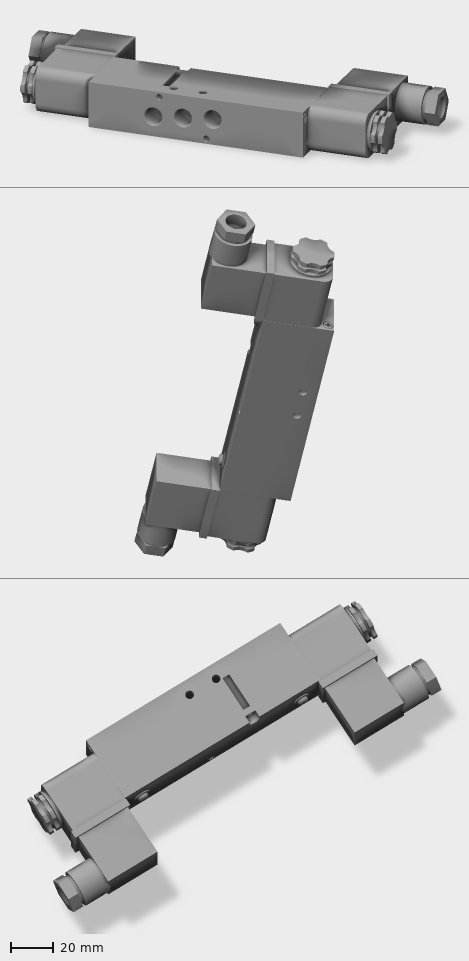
import cadquery as cq
import math


valve_depth = 34.2
valve_height = 23.0
top_z = valve_height / 2
row_end_x = 54.7
cap_inner_x = 40.8
body_left_x = -29.0
body_right_x = 16.0
body_mid_x = (body_left_x + body_right_x) / 2

port_pitch = 15.1
port_rise = 1.5
port_dia = 8.7
port_chamfer = 0.5
port_depth = 12.5
cross_hole_dia = 4.1
cross_hole_spacing = 15.0
cross_hole_y = 7.2
mount_hole_dia = 3.3
mount_hole_offset_x = 12.0
mount_hole_offset_z = 9.0
groove_width = 3.7
groove_front_y = 8.7
groove_back_y = 27.3
relief_width = 5.5
relief_length = 3.7

button_x = -45.0
collar_dia = 8.3
collar_height = 0.6
button_dia = 5.4
button_height = 2.5
button_chamfer = 0.6

plate_thickness = 1.9
plate_inset_y = 1.9
plate_inset_z = 1.0
lug_length_y = 8.0
lug_length_z = 7.2
screw_y = 3.0
screw_z = -7.9
screw_recess_dia = 5.2
screw_head_dia = 4.3
screw_recess_depth = 1.5
cross_slot_length = 3.1
cross_slot_width = 1.2
vent_dia = 3.5
vent_depth = 1.0
vent_y = 6.5
vent_z = 5.5

coil_left_x = -84.0
coil_height = 22.8
coil_front_y = 6.2
coil_fillet = 5.0
gasket_left_x = -85.1
gasket_right_x = -54.3
gasket_front_y = 34.8
gasket_back_y = 38.5
gasket_height = 24.0
box_left_x = -83.3
box_right_x = -55.5
box_back_y = 64.8
box_height = 20.7

total_length = 207.0
total_depth = 66.3
nut_across_corners = 18.6
nut_length = 5.4
gland_y = total_depth - nut_across_corners / 2
neck_dia = 15.5
neck_length = 1.7
sleeve_dia = 18.6
sleeve_right_x = -80.5
sleeve_chamfer = 2.5
cable_bore_dia = 10.4
cable_bore_depth = 6.2

knob_y = 17.2
knob_radius = 10.1
knob_neck_radius = 7.7
knob_left_x = -92.2
knob_disc_thickness = 2.0
knob_groove_width = 1.7
knob_ring_gap = 0.5
knob_ring_thickness = 0.8
knob_seat_radius = 9.5
scallop_count = 6
scallop_radius = 5.2
scallop_floor_radius = 8.5


def block(x_range, y_range, z_range):
    """Box between the given limits along X, Y and Z."""
    lengths = [high - low for low, high in (x_range, y_range, z_range)]
    corner = (x_range[0], y_range[0], z_range[0])
    return cq.Workplane("XY").box(*lengths, centered=False).translate(corner)


def valve_block(x_left, x_right):
    """Plain block of the valve row."""
    return block((x_left, x_right), (0, valve_depth), (-top_z, top_z))


def rod_x(x_left, x_right, y, z, diameter):
    """Cylinder along X."""
    return cq.Workplane("YZ", origin=(x_left, y, z)).circle(diameter / 2).extrude(x_right - x_left)


def rod_y(x, z, y_front, y_back, diameter):
    """Cylinder along Y."""
    return cq.Workplane("XZ", origin=(x, y_front, z)).circle(diameter / 2).extrude(y_front - y_back)


def turned_about_y(shape):
    """The same shape at the opposite end of the valve, half a turn about Y."""
    return shape.rotate((0, 0, 0), (0, 1, 0), 180)


def open_channel(x, y_front, y_back, width):
    """Round-bottomed channel along Y, centred on the mounting hole height and open at the top."""
    floor = rod_y(x, mount_hole_offset_z, y_front, y_back, width)
    walls = block((x - width / 2, x + width / 2), (y_front, y_back), (mount_hole_offset_z, top_z))
    return floor.union(walls)


def make_valve_body():
    body = valve_block(body_left_x, body_right_x)
    for step in (-1, 0, 1):
        port_x = body_mid_x + step * port_pitch
        port_z = step * port_rise
        body = body.cut(rod_y(port_x, port_z, 0, port_depth, port_dia))
        mouth = cq.Solid.makeCone(
            port_dia / 2 + port_chamfer,
            port_dia / 2,
            port_chamfer,
            pnt=cq.Vector(port_x, 0, port_z),
            dir=cq.Vector(0, 1, 0),
        )
        body = body.cut(cq.Workplane(mouth))
    for side in (-1, 1):
        cross_x = body_mid_x + side * cross_hole_spacing / 2
        cross_hole = cq.Workplane("XY", origin=(cross_x, cross_hole_y, -top_z))
        body = body.cut(cross_hole.circle(cross_hole_dia / 2).extrude(valve_height))
        mount_x = body_mid_x + side * mount_hole_offset_x
        mount_z = -side * mount_hole_offset_z
        body = body.cut(rod_y(mount_x, mount_z, 0, valve_depth, mount_hole_dia))
    channel_x = body_mid_x - mount_hole_offset_x
    body = body.cut(open_channel(channel_x, groove_front_y, groove_back_y, groove_width))
    return body.cut(open_channel(channel_x, valve_depth - relief_length, valve_depth, relief_width))


def make_plate():
    """Mounting plate with a lug at two opposite corners."""
    x_range = (-row_end_x, -row_end_x + plate_thickness)
    inner_z = top_z - plate_inset_z
    plate = block(x_range, (plate_inset_y, valve_depth - plate_inset_y), (-inner_z, inner_z))
    front_lug = block(x_range, (0, lug_length_y), (-top_z, -top_z + lug_length_z))
    back_lug = front_lug.rotate((0, valve_depth / 2, 0), (1, valve_depth / 2, 0), 180)
    return plate.union(front_lug).union(back_lug)


def make_end_cap():
    """Left end cap with the plate recess and the override button on its back."""
    cap = valve_block(-row_end_x, -cap_inner_x).cut(make_plate())
    collar = rod_y(button_x, 0, valve_depth, valve_depth + collar_height, collar_dia)
    button = rod_y(button_x, 0, valve_depth, valve_depth + button_height, button_dia)
    return cap.union(collar).union(button.faces(">Y").chamfer(button_chamfer))


def screw_recess(y, z):
    """Ring around a sunken screw head and the cross slot in the head."""
    x_left = -row_end_x
    x_floor = x_left + screw_recess_depth
    ring = rod_x(x_left, x_floor, y, z, screw_recess_dia).cut(rod_x(x_left, x_floor, y, z, screw_head_dia))
    slot_plane = cq.Workplane("YZ", origin=(x_left, y, z))
    slot_across = slot_plane.rect(cross_slot_length, cross_slot_width).extrude(screw_recess_depth)
    slot_upright = slot_plane.rect(cross_slot_width, cross_slot_length).extrude(screw_recess_depth)
    return ring.union(slot_across).union(slot_upright)


def make_knob():
    """Coil nut: two scalloped discs and a plain ring on a round neck."""
    plane = cq.Workplane("YZ", origin=(knob_left_x, knob_y, 0))
    disc = plane.circle(knob_radius).extrude(knob_disc_thickness)
    reach = scallop_floor_radius + scallop_radius
    for index in range(scallop_count):
        angle = (index + 0.5) * 2 * math.pi / scallop_count
        scallop = plane.center(reach * math.cos(angle), reach * math.sin(angle))
        disc = disc.cut(scallop.circle(scallop_radius).extrude(knob_disc_thickness))
    disc_pitch = knob_disc_thickness + knob_groove_width
    ring_x = knob_left_x + disc_pitch + knob_disc_thickness + knob_ring_gap
    knob = rod_x(knob_left_x, coil_left_x, knob_y, 0, 2 * knob_neck_radius)
    knob = knob.union(disc).union(disc.translate((disc_pitch, 0, 0)))
    knob = knob.union(rod_x(ring_x, ring_x + knob_ring_thickness, knob_y, 0, 2 * knob_radius))
    return knob.union(rod_x(ring_x, coil_left_x, knob_y, 0, 2 * knob_seat_radius))


def make_gland():
    """Cable gland: hexagon nut, neck and sleeve, bored from the outer end."""
    x_left = -total_length / 2
    neck_x = x_left + nut_length
    sleeve_x = neck_x + neck_length
    nut = cq.Workplane("YZ", origin=(x_left, gland_y, 0)).polygon(6, nut_across_corners).extrude(nut_length)
    neck = rod_x(neck_x, sleeve_x, gland_y, 0, neck_dia)
    sleeve = rod_x(sleeve_x, sleeve_right_x, gland_y, 0, sleeve_dia).faces(">X").chamfer(sleeve_chamfer)
    bore = rod_x(x_left, x_left + cable_bore_depth, gland_y, 0, cable_bore_dia)
    return nut.union(neck).union(sleeve).cut(bore)


def make_solenoid():
    """Left solenoid: mounting plate, coil, gasket, plug box, gland and coil nut."""
    plate = make_plate()
    plate = plate.cut(screw_recess(screw_y, screw_z))
    plate = plate.cut(screw_recess(valve_depth - screw_y, -screw_z))
    plate = plate.cut(rod_x(-row_end_x, -row_end_x + vent_depth, vent_y, vent_z, vent_dia))
    coil = block(
        (coil_left_x, -row_end_x),
        (coil_front_y, gasket_front_y),
        (-coil_height / 2, coil_height / 2),
    )
    coil = coil.faces("<Y").edges("|X").fillet(coil_fillet)
    gasket = block(
        (gasket_left_x, gasket_right_x),
        (gasket_front_y, gasket_back_y),
        (-gasket_height / 2, gasket_height / 2),
    )
    plug_box = block(
        (box_left_x, box_right_x),
        (gasket_back_y, box_back_y),
        (-box_height / 2, box_height / 2),
    )
    solenoid = plate.union(coil).union(gasket).union(plug_box)
    return solenoid.union(make_gland()).union(make_knob())


valve_body = make_valve_body()
left_spacer = valve_block(-cap_inner_x, body_left_x)
right_spacer = valve_block(body_right_x, cap_inner_x)
left_cap = make_end_cap()
right_cap = turned_about_y(left_cap)
left_solenoid = make_solenoid()
right_solenoid = turned_about_y(left_solenoid)

bodies = [valve_body, left_spacer, right_spacer, left_cap, right_cap, left_solenoid, right_solenoid]
result = cq.Compound.makeCompound([solid for body in bodies for solid in body.solids().vals()])